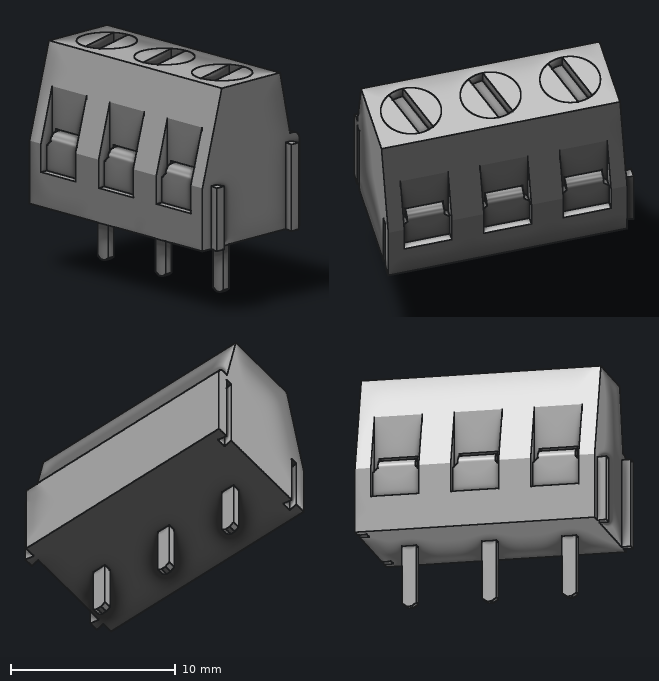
import cadquery as cq
import math


POLES = 3
HOUSING_LENGTH = 15.0
HOUSING_DEPTH = 8.3
HOUSING_HEIGHT = 10.0
PITCH = HOUSING_LENGTH / POLES
TOP_INSET = 1.65
FRONT_SHOULDER_Z = 4.0
BACK_STEP_Z = 6.0
BACK_STEP_DEPTH = 0.8
BACK_STEP_RADIUS = 0.5

DOVETAIL_LENGTH = 0.6
DOVETAIL_ROOT = 0.44
DOVETAIL_TIP = 0.65
DOVETAIL_INSET = 0.97
BACK_DOVETAIL_HEIGHT = 5.49

POCKET_WIDTH = 3.0
POCKET_BOTTOM = 2.2
POCKET_DEPTH = 0.95

GUARD_FACE_Y = 0.48
GUARD_BEND_Z = 4.12
GUARD_BEND_RADIUS = 0.53
GUARD_SHOULDER = 0.33
GUARD_TOP = GUARD_BEND_Z + GUARD_BEND_RADIUS
GUARD_THICKNESS = POCKET_DEPTH - GUARD_FACE_Y
TAB_WIDTH = POCKET_WIDTH - 2 * GUARD_SHOULDER
TAB_END_Y = 1.56
TAB_UNDERSIDE = GUARD_TOP - GUARD_THICKNESS
SLOT_SIDE_GAP = 0.023
SLOT_TOP = 4.8
SLOT_END_Y = 2.5

SCREW_DIAMETER = 3.7
SCREW_LENGTH = 2.0
DRIVER_SLOT_WIDTH = 1.0
DRIVER_SLOT_DEPTH = 0.73
DRIVER_SLOT_ANGLE = 16.5

PIN_WIDTH = 0.9
PIN_THICKNESS = 0.5
PIN_CENTRE_Y = 4.05
PIN_LENGTH_BELOW = 3.8
PIN_LENGTH_INSIDE = 1.0
PIN_TIP_WIDTH = 0.31
PIN_TIP_HEIGHT = 0.2

POLE_CENTRES = [(pole + 0.5) * PITCH for pole in range(POLES)]


def box(x_centre, width, y_start, y_end, z_start, z_end):
    """Box centred on x_centre in X and given by its limits in Y and Z."""
    size = (width, y_end - y_start, z_end - z_start)
    return cq.Workplane("XY").box(*size, centered=(True, False, False)).translate((x_centre, y_start, z_start))


def arc_inset(radius):
    """Distance from each side of a right-angled corner to the middle of its rounding arc."""
    return radius * (1 - math.sqrt(0.5))


def housing_block():
    """Trapezoidal block with a rounded step along the lower back."""
    inset = arc_inset(BACK_STEP_RADIUS)
    return (
        cq.Workplane("YZ")
        .moveTo(0, 0)
        .lineTo(HOUSING_DEPTH, 0)
        .lineTo(HOUSING_DEPTH, BACK_STEP_Z - BACK_STEP_RADIUS)
        .threePointArc(
            (HOUSING_DEPTH - inset, BACK_STEP_Z - inset),
            (HOUSING_DEPTH - BACK_STEP_RADIUS, BACK_STEP_Z),
        )
        .lineTo(HOUSING_DEPTH - BACK_STEP_DEPTH, BACK_STEP_Z)
        .lineTo(HOUSING_DEPTH - TOP_INSET, HOUSING_HEIGHT)
        .lineTo(TOP_INSET, HOUSING_HEIGHT)
        .lineTo(0, FRONT_SHOULDER_Z)
        .close()
        .extrude(HOUSING_LENGTH)
    )


def dovetails(x_root):
    """Front and back dovetail bars that widen in +X, starting at x_root."""
    bars = cq.Workplane("XY")
    places = [
        (DOVETAIL_INSET, FRONT_SHOULDER_Z),
        (HOUSING_DEPTH - DOVETAIL_INSET, BACK_DOVETAIL_HEIGHT),
    ]
    for y_centre, height in places:
        bar = (
            cq.Workplane("XY")
            .moveTo(x_root, y_centre - DOVETAIL_ROOT / 2)
            .lineTo(x_root + DOVETAIL_LENGTH, y_centre - DOVETAIL_TIP / 2)
            .lineTo(x_root + DOVETAIL_LENGTH, y_centre + DOVETAIL_TIP / 2)
            .lineTo(x_root, y_centre + DOVETAIL_ROOT / 2)
            .close()
            .extrude(height)
        )
        bars = bars.add(bar)
    return bars.combine()


def wire_pocket(x_centre):
    """Pocket with an upright back wall that runs out through the sloping front."""
    return box(x_centre, POCKET_WIDTH, 0, POCKET_DEPTH, POCKET_BOTTOM, HOUSING_HEIGHT)


def tab_slot(x_centre):
    """Blind slot in the pocket's back wall that takes the guard's tab."""
    width = TAB_WIDTH + 2 * SLOT_SIDE_GAP
    return box(x_centre, width, POCKET_DEPTH, SLOT_END_Y, TAB_UNDERSIDE, SLOT_TOP)


def screw_blank(x_centre):
    """Plain cylinder flush with the housing top; also the shape of the screw's hole."""
    return (
        cq.Workplane("XY", origin=(x_centre, HOUSING_DEPTH / 2, HOUSING_HEIGHT - SCREW_LENGTH))
        .circle(SCREW_DIAMETER / 2)
        .extrude(SCREW_LENGTH)
    )


def make_screw(x_centre):
    """Screw head with a straight driver slot across its top."""
    driver_slot = (
        cq.Workplane("XY", origin=(x_centre, HOUSING_DEPTH / 2, HOUSING_HEIGHT - DRIVER_SLOT_DEPTH))
        .transformed(rotate=(0, 0, DRIVER_SLOT_ANGLE))
        .rect(DRIVER_SLOT_WIDTH, 2 * SCREW_DIAMETER)
        .extrude(DRIVER_SLOT_DEPTH)
    )
    return screw_blank(x_centre).cut(driver_slot)


def make_pin(x_centre):
    """Flat solder pin with a tapered tip, let into the underside of the housing."""
    return (
        cq.Workplane("XZ", origin=(x_centre, PIN_CENTRE_Y, 0))
        .moveTo(-PIN_WIDTH / 2, PIN_LENGTH_INSIDE)
        .lineTo(PIN_WIDTH / 2, PIN_LENGTH_INSIDE)
        .lineTo(PIN_WIDTH / 2, PIN_TIP_HEIGHT - PIN_LENGTH_BELOW)
        .lineTo(PIN_TIP_WIDTH / 2, -PIN_LENGTH_BELOW)
        .lineTo(-PIN_TIP_WIDTH / 2, -PIN_LENGTH_BELOW)
        .lineTo(-PIN_WIDTH / 2, PIN_TIP_HEIGHT - PIN_LENGTH_BELOW)
        .close()
        .extrude(PIN_THICKNESS / 2, both=True)
    )


def make_guard(x_centre):
    """Wire guard: plate across the pocket with a narrower tab rounded back over the wall."""
    inset = arc_inset(GUARD_BEND_RADIUS)
    profile = (
        cq.Workplane("YZ", origin=(x_centre, 0, 0))
        .moveTo(GUARD_FACE_Y, POCKET_BOTTOM)
        .lineTo(GUARD_FACE_Y, GUARD_BEND_Z)
        .threePointArc(
            (GUARD_FACE_Y + inset, GUARD_TOP - inset),
            (GUARD_FACE_Y + GUARD_BEND_RADIUS, GUARD_TOP),
        )
        .lineTo(TAB_END_Y, GUARD_TOP)
        .lineTo(TAB_END_Y, TAB_UNDERSIDE)
        .lineTo(POCKET_DEPTH, TAB_UNDERSIDE)
        .lineTo(POCKET_DEPTH, POCKET_BOTTOM)
        .close()
        .extrude(POCKET_WIDTH / 2, both=True)
    )
    front_shape = (
        cq.Workplane("XZ", origin=(x_centre, 0, 0))
        .moveTo(-POCKET_WIDTH / 2, POCKET_BOTTOM)
        .lineTo(POCKET_WIDTH / 2, POCKET_BOTTOM)
        .lineTo(POCKET_WIDTH / 2, GUARD_BEND_Z - GUARD_SHOULDER)
        .lineTo(TAB_WIDTH / 2, GUARD_BEND_Z)
        .lineTo(TAB_WIDTH / 2, GUARD_TOP)
        .lineTo(-TAB_WIDTH / 2, GUARD_TOP)
        .lineTo(-TAB_WIDTH / 2, GUARD_BEND_Z)
        .lineTo(-POCKET_WIDTH / 2, GUARD_BEND_Z - GUARD_SHOULDER)
        .close()
        .extrude(-TAB_END_Y)
    )
    return profile.intersect(front_shape)


def make_housing(pins):
    """Block with dovetails on its right end, matching grooves on its left, and the pole cavities."""
    housing = housing_block().union(dovetails(HOUSING_LENGTH)).cut(dovetails(0))
    for x_centre in POLE_CENTRES:
        housing = housing.cut(wire_pocket(x_centre)).cut(tab_slot(x_centre)).cut(screw_blank(x_centre))
    for pin in pins:
        housing = housing.cut(pin)
    return housing


screws = [make_screw(x_centre) for x_centre in POLE_CENTRES]
pins = [make_pin(x_centre) for x_centre in POLE_CENTRES]
guards = [make_guard(x_centre) for x_centre in POLE_CENTRES]
housing = make_housing(pins)

bodies = [housing, *screws, *pins, *guards]
result = cq.Compound.makeCompound([body.val() for body in bodies])